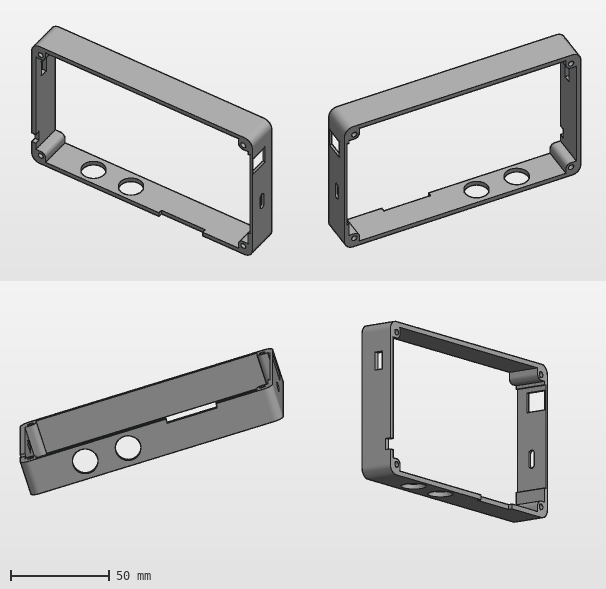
import cadquery as cq

LENGTH = 135.0
DEPTH = 18.0
HEIGHT = 80.0
WALL = 2.5
CORNER_RADIUS = 5.0

SCREW_DIAMETER = 3.0
SCREW_INSET = 5.5
POST_RADIUS = 3.0
POST_REACH = SCREW_INSET + POST_RADIUS

THIN_WALL = 1.5
THIN_BOTTOM = 15.9
THIN_TOP = HEIGHT - 10.3

SWITCH_SLOT = (5.3, 9.6, 55.1, 64.4)
CABLE_NOTCH = (0.0, 3.0, 12.7, 18.5)

CONNECTOR_WINDOW = (0.8, 11.9, 57.0, 67.2)

SIDE_SLOT_WIDTH = 3.2
SIDE_SLOT_LENGTH = 9.5
SIDE_SLOT_Y = 9.0
SIDE_SLOT_Z = 32.3

BUTTON_DIAMETER = 13.0
BUTTON_SPACING = 23.0
FIRST_BUTTON_X = 32.0
BUTTON_Y = 8.8
FRONT_NOTCH_START = 77.9
FRONT_NOTCH_END = 104.6
FRONT_NOTCH_DEPTH = 2.3


def box(x_range, y_range, z_range):
    """Box between the given limits along each axis."""
    size = [high - low for low, high in (x_range, y_range, z_range)]
    corner = (x_range[0], y_range[0], z_range[0])
    return cq.Workplane("XY").box(*size, centered=False).translate(corner)


def side_opening(x_range, limits):
    """Rectangular cutter through a side wall."""
    front, back, bottom, top = limits
    return box(x_range, (front, back), (bottom, top))


def corner_post(at_right, at_top):
    """Post filling one inner corner, rounded on its free edge."""
    x_start = LENGTH - POST_REACH if at_right else 0
    z_start = HEIGHT - POST_REACH if at_top else 0
    post = box((x_start, x_start + POST_REACH), (0, DEPTH), (z_start, z_start + POST_REACH))
    x_side = "<X" if at_right else ">X"
    z_side = "<Z" if at_top else ">Z"
    return post.faces(x_side).edges(z_side).fillet(POST_RADIUS)


outer = box((0, LENGTH), (0, DEPTH), (0, HEIGHT)).edges("|Y").fillet(CORNER_RADIUS)
cavity = box((WALL, LENGTH - WALL), (0, DEPTH), (WALL, HEIGHT - WALL))
frame = outer.cut(cavity)
for at_right in (False, True):
    for at_top in (False, True):
        frame = frame.union(corner_post(at_right, at_top).intersect(outer))

for x in (SCREW_INSET, LENGTH - SCREW_INSET):
    for z in (SCREW_INSET, HEIGHT - SCREW_INSET):
        hole = cq.Workplane("XZ", origin=(x, 0, z)).circle(SCREW_DIAMETER / 2).extrude(-DEPTH)
        frame = frame.cut(hole)

left_wall = (0, WALL)
right_wall = (LENGTH - WALL, LENGTH)
frame = frame.cut(box((LENGTH - WALL, LENGTH - THIN_WALL), (0, DEPTH), (THIN_BOTTOM, THIN_TOP)))
for x_range, limits in (
    (left_wall, SWITCH_SLOT),
    (left_wall, CABLE_NOTCH),
    (right_wall, CONNECTOR_WINDOW),
):
    frame = frame.cut(side_opening(x_range, limits))

side_slot = (
    cq.Workplane("YZ", origin=(LENGTH - WALL, SIDE_SLOT_Y, SIDE_SLOT_Z))
    .slot2D(SIDE_SLOT_LENGTH, SIDE_SLOT_WIDTH, 90)
    .extrude(WALL)
)
frame = frame.cut(side_slot)

for x in (FIRST_BUTTON_X, FIRST_BUTTON_X + BUTTON_SPACING):
    hole = cq.Workplane("XY", origin=(x, BUTTON_Y, 0)).circle(BUTTON_DIAMETER / 2).extrude(WALL)
    frame = frame.cut(hole)
front_notch = box((FRONT_NOTCH_START, FRONT_NOTCH_END), (0, FRONT_NOTCH_DEPTH), (0, WALL))

result = frame.cut(front_notch)